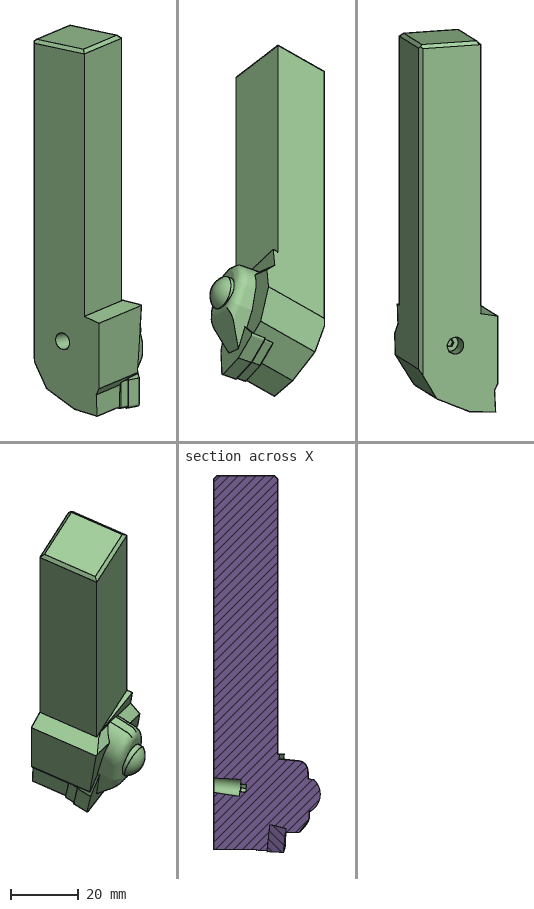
import cadquery as cq
import math


TOTAL_LENGTH = 114.3
SHANK = 19.1
EDGE_CHAMFER = 1.0
HEAD_WIDTH = 24.5
HEAD_TOP = 31.8
HEAD_TOP_OUTER = 30.6
HEAD_BLANK = 27.4
RELIEF_TOP = 10.3
FLANK_CORNER = (0.0, 16.0)
HEEL_CORNER = (5.4, 6.9)
BELLY_CORNER = (15.5, 2.3)
TOE_CORNER = (23.8, 1.6)
RELIEF_CORNER = (23.4, 8.2)

RAKE = math.tan(math.radians(6))
TIP_X = 25.5
TIP_Z = -0.08
FACE_DEPTH = 0.7
LEDGE_DEPTH = 4.1
STEP_RIDGE_Z = 22.3
STEP_NORMAL = (-0.24, 1.0, 0.87)

INSCRIBED_RADIUS = 6.4
NOSE_ANGLE = 80
TIP_DIRECTION = -45
INSERT_THICKNESS = 4.8
NOSE_RADIUS = 0.8
PAD_THICKNESS = 3.2
PAD_INSET = 0.2

BORE_X = 11.2
BORE_Z = 22.6
BORE_RADIUS = 2.5
BORE_DEPTH = 8.0
SOCKET_WIDTH = 2.2
SOCKET_DEPTH = 1.7
CLAMP_DIRECTION = -71
CLAMP_TAIL = 9.8
CLAMP_REACH = 16.7
CLAMP_HALF_WIDTH = 7.1
TAIL_HALF_WIDTH = 1.6
FLANK_END = 5.1
FLANK_HALF_WIDTH = 6.6
NOSE_HALF_WIDTH = 2.5
CLAMP_FOOT = LEDGE_DEPTH - FACE_DEPTH
TAIL_HEIGHT = 4.9
CREST_HEIGHT = 7.3
CREST_REACH = 6.2
NOSE_HEIGHT = FACE_DEPTH
CLAMP_FILLET = 3.0
HEAD_RADIUS = 5.0
HEAD_RIM = 7.3
HEAD_HEIGHT = 10.1

OVERLAP = 1.1
BIG = 228.6

rake_plane = cq.Plane(
    origin=(TIP_X, SHANK, TIP_Z), xDir=(1, -RAKE, 0), normal=(-RAKE, -1, RAKE)
)

bore_mouth = rake_plane.toLocalCoords(cq.Vector(BORE_X, 0, BORE_Z))
screw_base = rake_plane.toWorldCoords((bore_mouth.x, bore_mouth.y, FACE_DEPTH))

clamp_angle = math.radians(CLAMP_DIRECTION)
clamp_axis = rake_plane.xDir * math.cos(clamp_angle) + rake_plane.yDir * math.sin(clamp_angle)
clamp_plane = cq.Plane(origin=screw_base, xDir=clamp_axis, normal=rake_plane.zDir * -1)
side_plane = cq.Plane(origin=screw_base, xDir=clamp_axis, normal=clamp_plane.yDir * -1)


def rake_space(depth):
    """Everything outside a face parallel to the rake plane."""
    return cq.Workplane(rake_plane).workplane(offset=depth).rect(BIG, BIG).extrude(-BIG)


def trigon(inset, depth, thickness):
    """Three-cornered plate with bent sides and round noses, sunk below the rake plane."""
    half_nose = math.radians(NOSE_ANGLE / 2)
    tip_angle = math.radians(TIP_DIRECTION)
    tip_distance = INSCRIBED_RADIUS / math.sin(half_nose)
    nose_distance = (INSCRIBED_RADIUS - inset) / math.sin(half_nose)
    bend_distance = (INSCRIBED_RADIUS - inset) / math.cos(math.radians(30 - NOSE_ANGLE / 2))
    center_x = -tip_distance * math.cos(tip_angle)
    center_y = -tip_distance * math.sin(tip_angle)
    points = []
    for corner in range(6):
        angle = tip_angle + math.radians(60 * corner)
        distance = bend_distance if corner % 2 else nose_distance
        points.append((center_x + distance * math.cos(angle), center_y + distance * math.sin(angle)))
    plate = cq.Workplane(rake_plane).workplane(offset=depth).polyline(points).close().extrude(thickness)

    def is_nose(edge):
        middle = rake_plane.toLocalCoords(edge.Center())
        return math.hypot(middle.x - center_x, middle.y - center_y) > (nose_distance + bend_distance) / 2

    nose_edges = plate.edges(cq.selectors.ParallelDirSelector(rake_plane.zDir)).filter(is_nose)
    return nose_edges.fillet(NOSE_RADIUS)


def make_insert():
    """Cutting insert, flush with the rake plane."""
    return trigon(0, 0, INSERT_THICKNESS)


def make_pad():
    """Seat pad under the insert, slightly smaller than it."""
    return trigon(PAD_INSET, INSERT_THICKNESS, PAD_THICKNESS)


def make_shank():
    """Square bar with a chamfered end."""
    root = HEAD_TOP - OVERLAP
    bar = cq.Workplane("XY").workplane(offset=root).rect(SHANK, SHANK, centered=False)
    return bar.extrude(TOTAL_LENGTH - root).faces(">Z").chamfer(EDGE_CHAMFER)


def make_head():
    """Head plate whose back is a tilted face with a lower ledge behind a slanted step."""
    outline = [
        FLANK_CORNER,
        (0, HEAD_TOP),
        (SHANK, HEAD_TOP),
        (HEAD_WIDTH, HEAD_TOP_OUTER),
        (HEAD_WIDTH, RELIEF_TOP),
        RELIEF_CORNER,
        TOE_CORNER,
        BELLY_CORNER,
        HEEL_CORNER,
    ]
    head = cq.Workplane("XZ").polyline(outline).close().extrude(-HEAD_BLANK)
    ridge_y = SHANK + RAKE * (TIP_X + STEP_RIDGE_Z - TIP_Z) - FACE_DEPTH
    step_ridge = (0, ridge_y, STEP_RIDGE_Z)
    step_plane = cq.Plane(origin=step_ridge, xDir=(1, -STEP_NORMAL[0], 0), normal=STEP_NORMAL)
    above_step = cq.Workplane(step_plane).rect(BIG, BIG).extrude(BIG)
    return head.cut(rake_space(FACE_DEPTH)).cut(rake_space(LEDGE_DEPTH).intersect(above_step))


def make_clamp():
    """Tapered clamp finger: the overlap of its plan outline and its side profile."""
    sine = math.sin(math.radians(45))
    bulge_x = -CLAMP_TAIL * sine
    bulge_y = TAIL_HALF_WIDTH + (CLAMP_HALF_WIDTH - TAIL_HALF_WIDTH) * sine
    plan = (
        cq.Workplane(clamp_plane)
        .workplane(offset=-CLAMP_FOOT)
        .moveTo(-CLAMP_TAIL, -TAIL_HALF_WIDTH)
        .lineTo(-CLAMP_TAIL, TAIL_HALF_WIDTH)
        .threePointArc((bulge_x, bulge_y), (0, CLAMP_HALF_WIDTH))
        .lineTo(FLANK_END, FLANK_HALF_WIDTH)
        .lineTo(CLAMP_REACH, NOSE_HALF_WIDTH)
        .lineTo(CLAMP_REACH, -NOSE_HALF_WIDTH)
        .lineTo(FLANK_END, -FLANK_HALF_WIDTH)
        .lineTo(0, -CLAMP_HALF_WIDTH)
        .threePointArc((bulge_x, -bulge_y), (-CLAMP_TAIL, -TAIL_HALF_WIDTH))
        .close()
        .extrude(CLAMP_FOOT + HEAD_HEIGHT)
    )
    profile = [
        (-CLAMP_TAIL, -CLAMP_FOOT),
        (-CLAMP_TAIL, TAIL_HEIGHT),
        (CREST_REACH, CREST_HEIGHT),
        (CLAMP_REACH, NOSE_HEIGHT),
        (CLAMP_REACH, -CLAMP_FOOT),
    ]
    side = cq.Workplane(side_plane).polyline(profile).close().extrude(BIG / 2, both=True)
    return plan.intersect(side).faces(">Y").edges().fillet(CLAMP_FILLET)


def make_screw_head():
    """Round head with a domed top, standing on the clamp."""
    dome_rise = HEAD_HEIGHT - HEAD_RIM
    dome_radius = (HEAD_RADIUS**2 + dome_rise**2) / (2 * dome_rise)
    half_sweep = math.asin(HEAD_RADIUS / dome_radius) / 2
    dome_center = HEAD_HEIGHT - dome_radius
    dome_middle = (
        dome_radius * math.sin(half_sweep),
        dome_center + dome_radius * math.cos(half_sweep),
    )
    return (
        cq.Workplane(side_plane)
        .moveTo(0, 0)
        .lineTo(HEAD_RADIUS, 0)
        .lineTo(HEAD_RADIUS, HEAD_RIM)
        .threePointArc(dome_middle, (0, HEAD_HEIGHT))
        .close()
        .revolve(360, (0, 0), (0, 1))
    )


def make_screw_bore():
    """Bore from the front face down to the screw end, with the hexagon socket in that end."""
    mouth_plane = cq.Plane(origin=(BORE_X, 0, BORE_Z), xDir=rake_plane.xDir, normal=clamp_plane.zDir)
    bore = cq.Workplane(mouth_plane).workplane(offset=-OVERLAP).circle(BORE_RADIUS)
    bore = bore.extrude(BORE_DEPTH + OVERLAP)
    across_corners = SOCKET_WIDTH / math.cos(math.radians(30))
    socket = cq.Workplane(mouth_plane).polygon(6, across_corners).extrude(BORE_DEPTH + SOCKET_DEPTH)
    return bore.union(socket)


def make_long_chamfer():
    """Chamfer along the edge between the front face and the left side."""
    corner = [(0, 0), (EDGE_CHAMFER, 0), (0, EDGE_CHAMFER)]
    return cq.Workplane("XY").polyline(corner).close().extrude(TOTAL_LENGTH)


def make_holder(insert):
    """Holder with pad, clamp and screw, recessed to seat the insert."""
    holder = make_head().union(make_shank())
    holder = holder.cut(make_long_chamfer())
    holder = holder.union(make_clamp()).union(make_screw_head()).union(make_pad())
    return holder.cut(make_screw_bore()).cut(insert)


insert = make_insert()
holder = make_holder(insert)

result = cq.Compound.makeCompound([holder.val(), insert.val()])